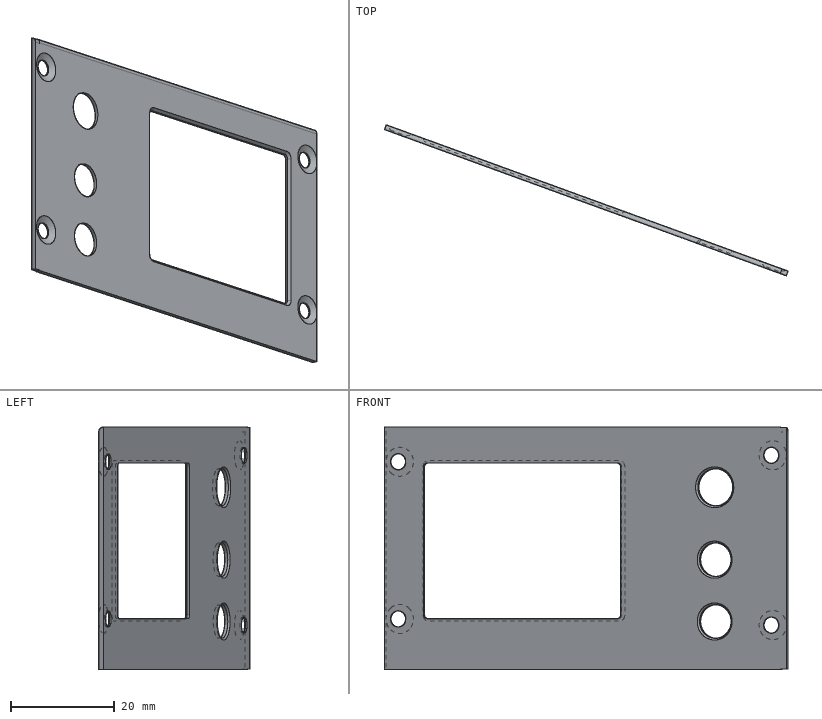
import cadquery as cq
panel_length = 83.0
panel_height = 47.1
panel_thickness = 1.0
panel_turn = 20.0

top_land = 0.02
top_radius = panel_thickness - top_land

tab_length = 1.25
tab_step = 0.1

window_left = 8.1
window_right = 48.8
window_top = 16.55
window_bottom = -13.65
window_corner_radius = 0.8
window_back_chamfer = 0.5

screw_hole_diameter = 3.1
screw_countersink_diameter = 5.65
screw_land = 0.3
left_screw_position = 2.8
right_screw_position = 79.85
screw_holes = (
    (left_screw_position, 16.8),
    (left_screw_position, -13.7),
    (right_screw_position, 18.05),
    (right_screw_position, -14.9),
)

control_position = 68.2
control_holes = ((11.85, 7.2), (-2.2, 6.5), (-14.2, 6.5))
control_chamfer = 0.35


def along(position):
    """Distance from the panel centre for a position measured from the left end."""
    return position - panel_length / 2


def make_plate(left_end, length, half_height):
    """Plate with its front face on Y = 0 and its top back edge rounded."""
    section = (
        cq.Workplane("YZ", origin=(along(left_end), 0, 0))
        .moveTo(0, -half_height)
        .lineTo(panel_thickness, -half_height)
        .lineTo(panel_thickness, half_height - top_radius)
        .radiusArc((top_land, half_height), -top_radius)
        .lineTo(0, half_height)
        .close()
    )
    return section.extrude(length)


def make_panel():
    """Main plate joined to the tab at its right end."""
    main_length = panel_length - tab_length
    main_plate = make_plate(0, main_length, panel_height / 2)
    tab = make_plate(main_length, tab_length, panel_height / 2 - tab_step)
    return main_plate.union(tab)


def cut_window(panel):
    """Cut the display window and chamfer its back rim."""
    width = window_right - window_left
    height = window_top - window_bottom
    opening = (
        cq.Workplane("XZ")
        .center(along((window_left + window_right) / 2), (window_top + window_bottom) / 2)
        .rect(width, height)
        .extrude(-panel_thickness)
        .edges("|Y")
        .fillet(window_corner_radius)
    )
    panel = panel.cut(opening)
    back_rim = panel.faces(">Y").val().innerWires()[0].Edges()
    return panel.newObject(back_rim).chamfer(window_back_chamfer)


def revolved_cutter(profile, position, height):
    """Turn a profile of (radius, depth) about the hole axis and move it to its place."""
    return profile.close().revolve(360, (0, 0), (0, 1)).translate((along(position), 0, height))


def make_screw_hole(position, height):
    radius = screw_hole_diameter / 2
    profile = (
        cq.Workplane("XY")
        .lineTo(radius, 0)
        .lineTo(radius, screw_land)
        .lineTo(screw_countersink_diameter / 2, panel_thickness)
        .lineTo(0, panel_thickness)
    )
    return revolved_cutter(profile, position, height)


def make_control_hole(height, diameter):
    radius = diameter / 2
    profile = (
        cq.Workplane("XY")
        .lineTo(radius + control_chamfer, 0)
        .lineTo(radius, control_chamfer)
        .lineTo(radius, panel_thickness)
        .lineTo(0, panel_thickness)
    )
    return revolved_cutter(profile, control_position, height)


panel = cut_window(make_panel())
for screw_position, screw_height in screw_holes:
    panel = panel.cut(make_screw_hole(screw_position, screw_height))
for control_height, control_diameter in control_holes:
    panel = panel.cut(make_control_hole(control_height, control_diameter))

result = panel.rotate((0, 0, 0), (0, 0, 1), -panel_turn)